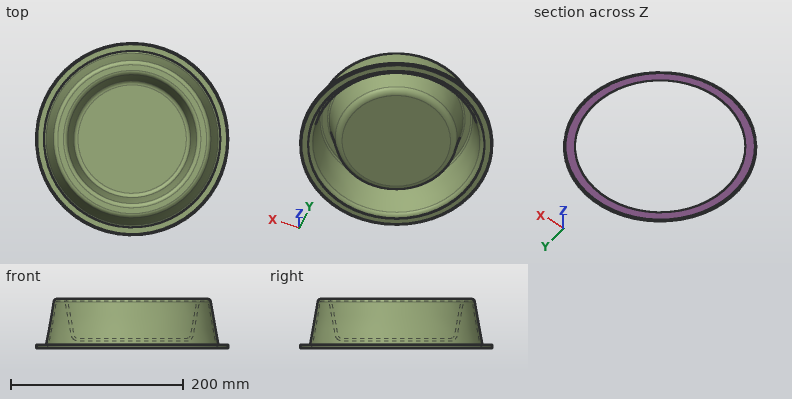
import cadquery as cq
import math

total_height = 57.96
sheet = 3.0
clearance = 0.3
ring_wall = 1.0
ring_round = 2.0
flange_radius = 110.0
foot_radius = 100.0
rim_outer_radius = 90.4
rim_inner_radius = 75.4
floor_radius = 66.9
dish_depth = 46.0
bend = 5.0
foot_bend = 2.5

ring_opening_radius = 204.19 / 2
ring_radius = flange_radius + clearance + ring_wall
flange_bottom = ring_wall
flange_top = flange_bottom + sheet
ring_height = flange_top + ring_wall
floor_top = total_height - dish_depth


def unit(start, end):
    """Direction from one point to another as a vector of length 1."""
    length = math.dist(start, end)
    return (end[0] - start[0]) / length, (end[1] - start[1]) / length


def offset_corner(before, corner, after, distance):
    """Corner of the path moved sideways, to the left of its travel."""
    ux, uz = unit(before, corner)
    vx, vz = unit(corner, after)
    scale = distance / (1 + ux * vx + uz * vz)
    return corner[0] - (uz + vz) * scale, corner[1] + (ux + vx) * scale


def round_corner(path, before, corner, after, radius):
    """Draw up to a corner and round it with a tangent arc."""
    ux, uz = unit(corner, before)
    vx, vz = unit(corner, after)
    half_angle = math.acos(ux * vx + uz * vz) / 2
    setback = radius / math.tan(half_angle)
    depth = radius / math.sin(half_angle) - radius
    mx, mz = unit((0, 0), (ux + vx, uz + vz))
    arc_start = (corner[0] + ux * setback, corner[1] + uz * setback)
    arc_middle = (corner[0] + mx * depth, corner[1] + mz * depth)
    arc_end = (corner[0] + vx * setback, corner[1] + vz * setback)
    return path.lineTo(*arc_start).threePointArc(arc_middle, arc_end)


def make_bowl():
    """Sheet bowl: outer flange, tapered outer wall, flat rim, tapered dish and floor."""
    upper = [
        (flange_radius, flange_top),
        (foot_radius, flange_top),
        (rim_outer_radius, total_height),
        (rim_inner_radius, total_height),
        (floor_radius, floor_top),
        (0, floor_top),
    ]
    bends = [foot_bend, bend, bend, bend]
    under_bends = [foot_bend + sheet, bend - sheet, bend - sheet, bend + sheet]
    under = [(flange_radius, flange_bottom)]
    for before, corner, after in zip(upper, upper[1:], upper[2:]):
        under.append(offset_corner(before, corner, after, sheet))
    under.append((0, floor_top - sheet))

    path = cq.Workplane("XZ").moveTo(*upper[0])
    for before, corner, after, radius in zip(upper, upper[1:], upper[2:], bends):
        path = round_corner(path, before, corner, after, radius)
    path = path.lineTo(*upper[-1]).lineTo(*under[-1])

    under.reverse()
    under_bends.reverse()
    for before, corner, after, radius in zip(under, under[1:], under[2:], under_bends):
        path = round_corner(path, before, corner, after, radius)
    path = path.lineTo(*under[-1]).close()
    return path.revolve(360, (0, 0), (0, 1))


def make_grip_ring():
    """Ring of C-shaped section that wraps the edge of the bowl flange."""
    outer = cq.Workplane("XY").circle(ring_radius).extrude(ring_height)
    outer = outer.edges().fillet(ring_round)
    opening = cq.Workplane("XY").circle(ring_opening_radius).extrude(ring_height)
    groove_height = ring_height - 2 * ring_wall
    groove = (
        cq.Workplane("XY")
        .workplane(offset=ring_wall)
        .circle(flange_radius + clearance)
        .extrude(groove_height)
    )
    return outer.cut(opening).cut(groove)


bowl = make_bowl()
grip_ring = make_grip_ring()

result = cq.Compound.makeCompound([bowl.val(), grip_ring.val()])